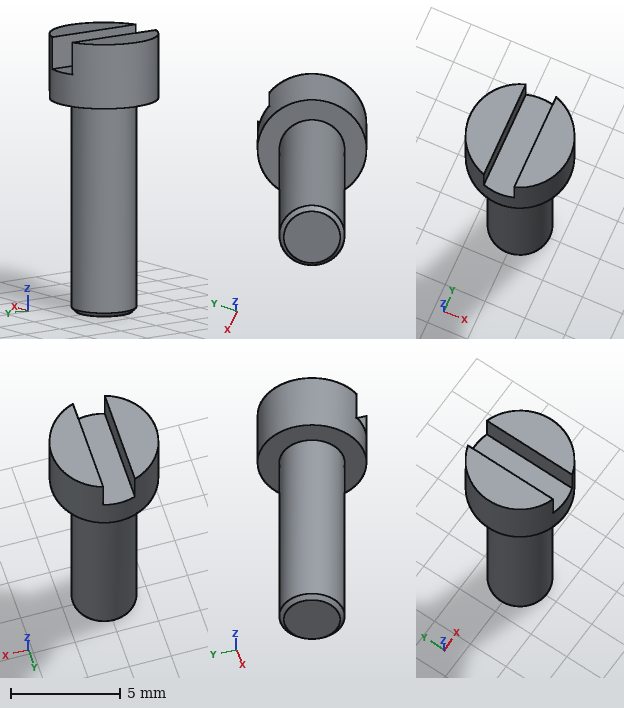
import cadquery as cq

total_length = 13.0
head_diameter = 5.0
head_height = 3.0
shank_diameter = 3.0
slot_width = 1.52
slot_depth = 1.5
tip_chamfer = 0.21

shank_length = total_length - head_height


def make_shank():
    """Cylindrical shank with its chamfered tip at Z = 0."""
    shank = cq.Workplane("XY").circle(shank_diameter / 2).extrude(shank_length)
    return shank.faces("<Z").chamfer(tip_chamfer)


def make_head():
    """Cylindrical head on top of the shank."""
    return (
        cq.Workplane("XY")
        .workplane(offset=shank_length)
        .circle(head_diameter / 2)
        .extrude(head_height)
    )


def make_slot():
    """Screwdriver slot, running along Y across the whole head."""
    return (
        cq.Workplane("XY")
        .workplane(offset=total_length - slot_depth)
        .rect(slot_width, head_diameter)
        .extrude(slot_depth)
    )


result = make_shank().union(make_head()).cut(make_slot())